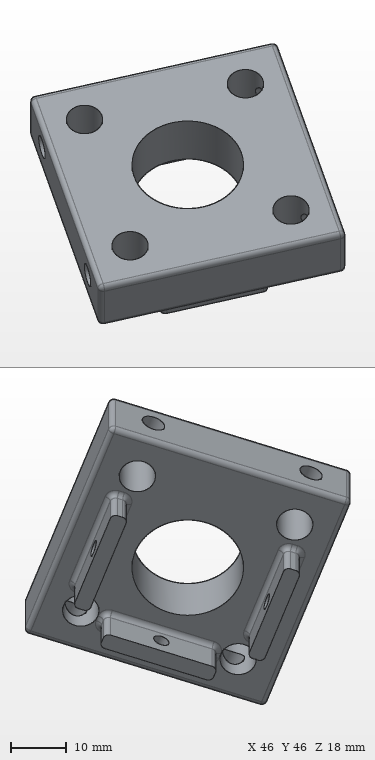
import cadquery as cq

plate_side = 46.0
plate_thickness = 11.0
total_height = 18.0
tab_height = total_height - plate_thickness
round_radius = 1.0

bore_diameter = 20.0
bolt_hole_diameter = 6.5
bolt_spacing = 30.0
bolt_offset = bolt_spacing / 2

tab_thickness = 3.0
side_tab_inner_x = 15.0
side_tab_front_y = -10.0
left_tab_back_y = 10.7
right_tab_back_y = 10.0
back_tab_inner_y = 14.0
back_tab_length = 21.4
tab_hole_diameter = 2.9
back_tab_hole_drop = 3.5
side_tab_hole_drop = 3.6
side_tab_hole_y = -0.15

screw_hole_diameter = 4.23
left_screw_x = -14.8
left_screw_drop = 4.95
right_screw_x = 15.25
right_screw_drop = 5.4
back_screw_drop = plate_thickness / 2


def make_plate():
    """Plate with its underside at Z = 0 and every outer edge rounded."""
    plate = cq.Workplane("XY").box(plate_side, plate_side, plate_thickness, centered=(True, True, False))
    return plate.edges().fillet(round_radius)


def make_tab(center_x, center_y, length_x, length_y):
    """Upright tab with rounded corners, hanging below Z = 0."""
    tab = cq.Workplane("XY").center(center_x, center_y).rect(length_x, length_y).extrude(-tab_height)
    return tab.edges("|Z").fillet(round_radius)


def add_tabs(body):
    """Join the two side tabs and the back tab, and blend their roots into the plate."""
    side_center_x = side_tab_inner_x + tab_thickness / 2
    for side, back_y in ((-1, left_tab_back_y), (1, right_tab_back_y)):
        side_center_y = (side_tab_front_y + back_y) / 2
        side_length = back_y - side_tab_front_y
        body = body.union(make_tab(side * side_center_x, side_center_y, tab_thickness, side_length))
    back_center_y = back_tab_inner_y + tab_thickness / 2
    body = body.union(make_tab(0, back_center_y, back_tab_length, tab_thickness))

    half_height = round_radius / 2
    half_width = plate_side / 2 - round_radius - half_height
    roots = cq.selectors.BoxSelector(
        (-half_width, -half_width, -half_height),
        (half_width, half_width, half_height),
    )
    return body.edges(roots).fillet(round_radius)


def cut_vertical_holes(body):
    """Cut the central bore and the four bolt holes through the plate."""
    bore = cq.Workplane("XY").circle(bore_diameter / 2).extrude(plate_thickness)
    bolt_centers = cq.Workplane("XY").rect(bolt_spacing, bolt_spacing, forConstruction=True).vertices()
    bolt_holes = bolt_centers.circle(bolt_hole_diameter / 2).extrude(plate_thickness)
    return body.cut(bore).cut(bolt_holes)


def cut_tab_holes(body):
    """Cut one cross hole along X through both side tabs and one along Y through the back tab."""
    side_hole = cq.Workplane("YZ").center(side_tab_hole_y, -side_tab_hole_drop).circle(tab_hole_diameter / 2)
    body = body.cut(side_hole.extrude(plate_side / 2, both=True))
    back_hole = cq.Workplane("XZ").center(0, -back_tab_hole_drop).circle(tab_hole_diameter / 2)
    return body.cut(back_hole.extrude(plate_side / 2, both=True))


def make_screw_hole(x, drop):
    """Cutter running from the front face to the axes of the front bolt holes."""
    depth = plate_side / 2 - bolt_offset
    front = cq.Workplane("XZ", origin=(x, -plate_side / 2, plate_thickness - drop))
    return front.circle(screw_hole_diameter / 2).extrude(-depth)


def cut_screw_holes(body):
    """Cut the two front screw holes, and the two back ones in line with their bolt holes."""
    body = body.cut(make_screw_hole(left_screw_x, left_screw_drop))
    body = body.cut(make_screw_hole(right_screw_x, right_screw_drop))
    for x in (-bolt_offset, bolt_offset):
        body = body.cut(make_screw_hole(x, back_screw_drop).mirror("XZ"))
    return body


result = add_tabs(make_plate())
result = cut_vertical_holes(result)
result = cut_tab_holes(result)
result = cut_screw_holes(result)